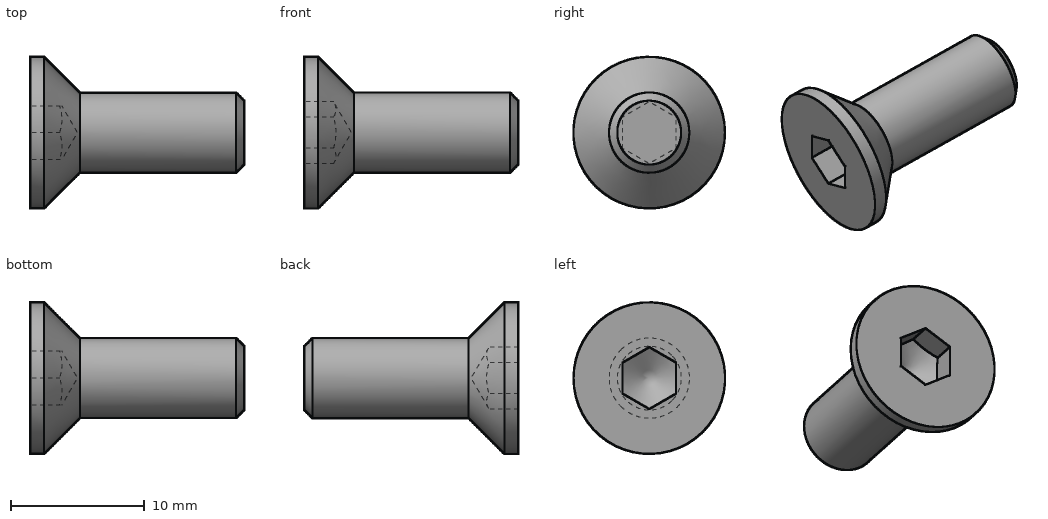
import cadquery as cq
import math

length = 16.0
head_diameter = 11.34
rim_thickness = 1.05
shank_diameter = 6.0
tip_diameter = 4.773
socket_sides = 6
socket_across_flats = 4.0
socket_depth = 2.2
drill_point_angle = 120.0

full_turn = 360
quarter_turn = full_turn / 4

head_radius = head_diameter / 2
shank_radius = shank_diameter / 2
tip_radius = tip_diameter / 2

head_height = rim_thickness + head_radius - shank_radius
tip_chamfer = shank_radius - tip_radius

socket_across_corners = socket_across_flats / math.cos(math.pi / socket_sides)
socket_corner_radius = socket_across_corners / 2
drill_point_depth = socket_corner_radius / math.tan(math.radians(drill_point_angle / 2))


def make_body():
    """Head and shank, revolved about the X axis."""
    profile = [
        (0, 0),
        (0, head_radius),
        (rim_thickness, head_radius),
        (head_height, shank_radius),
        (length - tip_chamfer, shank_radius),
        (length, tip_radius),
        (length, 0),
    ]
    return cq.Workplane("XY").polyline(profile).close().revolve(full_turn, (0, 0, 0), (1, 0, 0))


def make_socket():
    """Hexagonal prism with corners on the Z axis, ending in a conical point."""
    full_depth = socket_depth + drill_point_depth
    hexagon = (
        cq.Workplane("YZ")
        .transformed(rotate=(0, 0, quarter_turn))
        .polygon(socket_sides, socket_across_corners)
        .extrude(full_depth)
    )
    rod_profile = [
        (0, 0),
        (0, socket_corner_radius),
        (socket_depth, socket_corner_radius),
        (full_depth, 0),
    ]
    pointed_rod = (
        cq.Workplane("XY")
        .polyline(rod_profile)
        .close()
        .revolve(full_turn, (0, 0, 0), (1, 0, 0))
    )
    return hexagon.intersect(pointed_rod)


result = make_body().cut(make_socket())